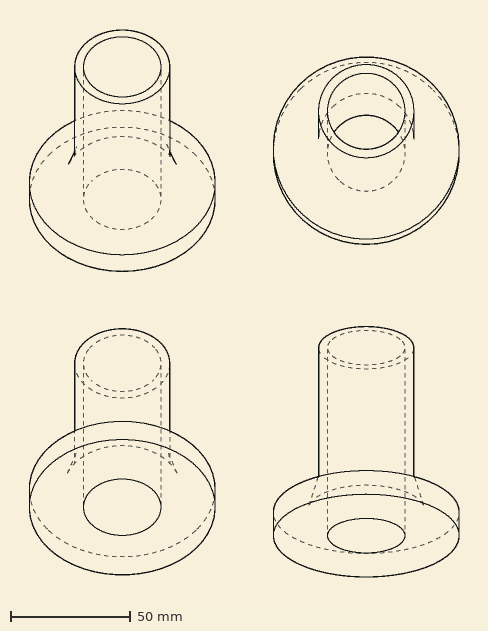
import cadquery as cq

total_height = 88.0
flange_diameter = 78.0
flange_thickness = 11.1

tube_diameter = 39.95
bore_diameter = 32.5

hub_top_height = 27.8
hub_base_diameter = 49.0
hub_foot_diameter = 50.9
hub_foot_height = 0.7

flange_radius = flange_diameter / 2
tube_radius = tube_diameter / 2
bore_radius = bore_diameter / 2
hub_base_radius = hub_base_diameter / 2
hub_foot_radius = hub_foot_diameter / 2


half_section = (
    cq.Workplane("XZ")
    .moveTo(bore_radius, 0)
    .lineTo(flange_radius, 0)
    .lineTo(flange_radius, flange_thickness)
    .lineTo(hub_foot_radius, flange_thickness)
    .tangentArcPoint((hub_base_radius, flange_thickness + hub_foot_height), relative=False)
    .lineTo(tube_radius, hub_top_height)
    .lineTo(tube_radius, total_height)
    .lineTo(bore_radius, total_height)
    .close()
)

result = half_section.revolve(360, (0, 0, 0), (0, 1, 0))